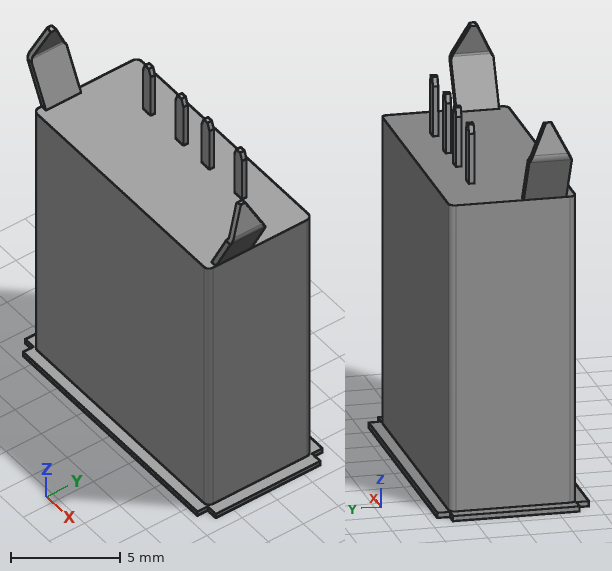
import cadquery as cq
import math

shell_length = 13.35
shell_width = 5.95
shell_height = 15.0
shell_corner_radius = 0.3

flange_length = 14.6
flange_width = 7.12
lip_thickness = 0.25

pin_width = 0.6
pin_thickness = 0.25
pin_height = 2.8
pin_row_y = 1.25
pin_positions_x = (-3.5, -1.0, 1.0, 3.5)
pin_tip_inset = 0.15
pin_tip_height = 0.4

clip_width = 2.0
clip_center_y = -1.5
clip_thickness = 0.3
clip_span = 15.65
clip_top_z = 18.9
clip_outer_bend_radius = 0.46
clip_lower_lean = math.radians(27)
clip_upper_lean = math.radians(16)
clip_tip_width = 0.25
clip_tip_radius = 0.12


def make_shell():
    block = cq.Workplane("XY").box(
        shell_length, shell_width, shell_height, centered=(True, True, False)
    )
    return block.edges("|Z").fillet(shell_corner_radius)


def make_flange():
    """Two crossed plates: each overhangs the shell on one pair of sides."""
    end_lips = cq.Workplane("XY").box(
        flange_length, shell_width, lip_thickness, centered=(True, True, False)
    )
    side_lips = cq.Workplane("XY").box(
        shell_length, flange_width, lip_thickness, centered=(True, True, False)
    )
    return end_lips.union(side_lips)


def make_pin(x):
    """A flat pin standing on the shell, narrowed at the tip."""
    half_width = pin_width / 2
    half_tip = half_width - pin_tip_inset
    top_z = shell_height + pin_height
    shoulder_z = top_z - pin_tip_height
    outline = [
        (x - half_width, shell_height),
        (x - half_width, shoulder_z),
        (x - half_tip, top_z),
        (x + half_tip, top_z),
        (x + half_width, shoulder_z),
        (x + half_width, shell_height),
    ]
    return (
        cq.Workplane("XZ", origin=(0, pin_row_y, 0))
        .polyline(outline)
        .close()
        .extrude(pin_thickness / 2, both=True)
    )


def make_left_clip():
    """A bent strip rising from the top left edge of the shell."""
    outer_radius = clip_outer_bend_radius
    inner_radius = outer_radius - clip_thickness
    lower_slope = math.tan(clip_lower_lean)

    bend_x = -clip_span / 2 + outer_radius
    lower_tangent_x = bend_x - outer_radius * math.cos(clip_lower_lean)
    lower_tangent_z = shell_height + (-shell_length / 2 - lower_tangent_x) / lower_slope
    bend_z = lower_tangent_z + outer_radius * math.sin(clip_lower_lean)

    def on_bend(radius, angle):
        """Point of the bend, the angle being measured upward from -X."""
        return (bend_x - radius * math.cos(angle), bend_z + radius * math.sin(angle))

    def tip(radius):
        """End of the upper leg, with the end face square to the leg."""
        x, z = on_bend(radius, clip_upper_lean)
        outer_z = on_bend(outer_radius, clip_upper_lean)[1]
        leg_length = (clip_top_z - outer_z) / math.cos(clip_upper_lean)
        return (
            x + leg_length * math.sin(clip_upper_lean),
            z + leg_length * math.cos(clip_upper_lean),
        )

    root_x = -shell_length / 2
    root_thickness = clip_thickness / math.cos(clip_lower_lean)
    strip = (
        cq.Workplane("XZ", origin=(0, clip_center_y, 0))
        .moveTo(root_x, shell_height)
        .lineTo(*on_bend(outer_radius, -clip_lower_lean))
        .threePointArc(on_bend(outer_radius, 0), on_bend(outer_radius, clip_upper_lean))
        .lineTo(*tip(outer_radius))
        .lineTo(*tip(inner_radius))
        .lineTo(*on_bend(inner_radius, clip_upper_lean))
        .threePointArc(on_bend(inner_radius, 0), on_bend(inner_radius, -clip_lower_lean))
        .lineTo(root_x + root_thickness, shell_height)
        .close()
        .extrude(clip_width / 2, both=True)
    )

    half_width = clip_width / 2
    half_tip = clip_tip_width / 2
    outline = [
        (clip_center_y - half_width, shell_height),
        (clip_center_y + half_width, shell_height),
        (clip_center_y + half_width, lower_tangent_z),
        (clip_center_y + half_tip, clip_top_z),
        (clip_center_y - half_tip, clip_top_z),
        (clip_center_y - half_width, lower_tangent_z),
    ]
    pointed = (
        cq.Workplane("YZ")
        .polyline(outline)
        .close()
        .extrude(-clip_span)
        .edges("|X and >Z")
        .fillet(clip_tip_radius)
    )
    return strip.intersect(pointed)


left_clip = make_left_clip()
right_clip = left_clip.mirror("YZ")

result = make_shell().union(make_flange()).union(left_clip).union(right_clip)
for pin_x in pin_positions_x:
    result = result.union(make_pin(pin_x))